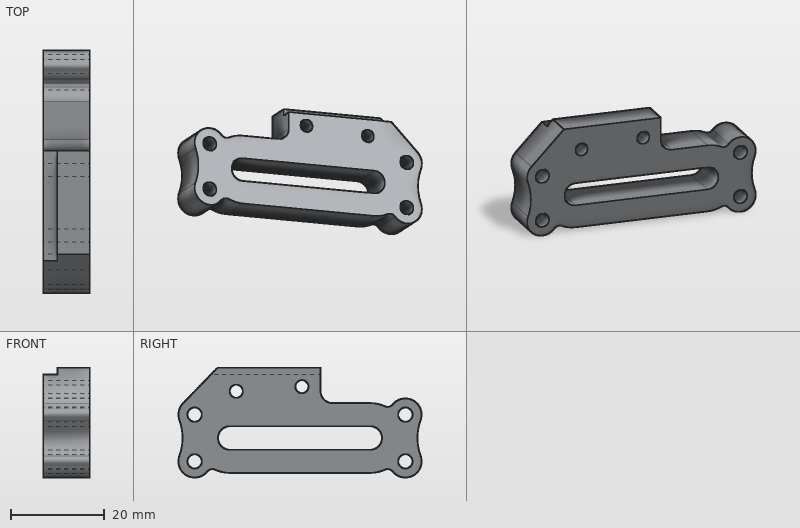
import cadquery as cq
import math

thickness = 10.0
length = 52.0
lug_radius = 3.5
lug_z = 5.0
lug_y = length / 2 - lug_radius
lug_hole_diameter = 3.0

slot_width = 5.0
slot_length = 35.0
slot_end_y = (slot_length - slot_width) / 2
body_radius = 7.5

neck_radius = 1.4
waist_radius = 11.0

block_top_z = 15.05
block_side_y = 4.4
slope_top_y = -17.65
block_corner_radius = 2.5
step_depth = 3.0
step_height = 1.4

block_hole_diameter = 2.75
block_hole_centers = [(0.4, 10.95), (-13.6, 10.0)]


def point_toward(start, end, distance):
    """Point at the given distance from start along the line to end."""
    share = distance / math.dist(start, end)
    return (start[0] + share * (end[0] - start[0]), start[1] + share * (end[1] - start[1]))


def neck_center():
    """Centre of the neck arc that touches a body end and a lug, for +Y and +Z."""
    to_body = body_radius + neck_radius
    to_lug = lug_radius + neck_radius
    lug_dy = lug_y - slot_end_y
    span = math.hypot(lug_dy, lug_z)
    along = (to_body**2 - to_lug**2 + span**2) / (2 * span)
    across = math.sqrt(to_body**2 - along**2)
    return (
        slot_end_y + (along * lug_dy - across * lug_z) / span,
        (along * lug_z + across * lug_dy) / span,
    )


def mirrored(point, y_sign, z_sign):
    return (y_sign * point[0], z_sign * point[1])


body_end = (slot_end_y, 0)
lug_center = (lug_y, lug_z)
neck = neck_center()
neck_at_body = point_toward(neck, body_end, neck_radius)
neck_at_lug = point_toward(neck, lug_center, neck_radius)
neck_crown = (neck[0], neck[1] - neck_radius)
body_flat_end = (slot_end_y, body_radius)
body_crown = point_toward(body_end, ((slot_end_y + neck_at_body[0]) / 2, body_radius), body_radius)

waist_center = (lug_y + math.sqrt((lug_radius + waist_radius) ** 2 - lug_z**2), 0)
waist_at_lug = point_toward(waist_center, lug_center, waist_radius)
waist_crown = (waist_center[0] - waist_radius, 0)

diagonal = math.sqrt(0.5)
lug_crown = (lug_y + lug_radius * diagonal, lug_z + lug_radius * diagonal)
lug_side = (lug_y + lug_radius, lug_z)

slope_top = (slope_top_y, block_top_z)
slope_lug_center = mirrored(lug_center, -1, 1)
lug_to_slope_top = math.dist(slope_lug_center, slope_top)
tangent_angle = math.atan2(
    slope_top[1] - slope_lug_center[1], slope_top[0] - slope_lug_center[0]
) + math.acos(lug_radius / lug_to_slope_top)
slope_bottom = (
    slope_lug_center[0] + lug_radius * math.cos(tangent_angle),
    slope_lug_center[1] + lug_radius * math.sin(tangent_angle),
)

corner_center = (block_side_y + block_corner_radius, body_radius + block_corner_radius)
corner_crown = point_toward(corner_center, (block_side_y, body_radius), block_corner_radius)


def add_body_to_lug(outline, y_sign, z_sign):
    """From the end of the body flat, round the body end and neck, to the lug."""
    outline = outline.threePointArc(
        mirrored(body_crown, y_sign, z_sign), mirrored(neck_at_body, y_sign, z_sign)
    )
    return outline.threePointArc(
        mirrored(neck_crown, y_sign, z_sign), mirrored(neck_at_lug, y_sign, z_sign)
    )


def add_lug_to_body(outline, y_sign, z_sign):
    """The same stretch in the opposite direction."""
    outline = outline.threePointArc(
        mirrored(neck_crown, y_sign, z_sign), mirrored(neck_at_body, y_sign, z_sign)
    )
    return outline.threePointArc(
        mirrored(body_crown, y_sign, z_sign), mirrored(body_flat_end, y_sign, z_sign)
    )


def make_plate():
    outline = cq.Workplane("YZ", origin=(-thickness / 2, 0, 0))
    outline = outline.moveTo(*slope_top).lineTo(block_side_y, block_top_z)
    outline = outline.lineTo(block_side_y, corner_center[1])
    outline = outline.threePointArc(corner_crown, (corner_center[0], body_radius))
    outline = outline.lineTo(*body_flat_end)
    outline = add_body_to_lug(outline, 1, 1)
    outline = outline.threePointArc(lug_crown, waist_at_lug)
    outline = outline.threePointArc(waist_crown, mirrored(waist_at_lug, 1, -1))
    outline = outline.threePointArc(mirrored(lug_crown, 1, -1), mirrored(neck_at_lug, 1, -1))
    outline = add_lug_to_body(outline, 1, -1)
    outline = outline.lineTo(*mirrored(body_flat_end, -1, -1))
    outline = add_body_to_lug(outline, -1, -1)
    outline = outline.threePointArc(mirrored(lug_crown, -1, -1), mirrored(waist_at_lug, -1, -1))
    outline = outline.threePointArc(mirrored(waist_crown, -1, 1), mirrored(waist_at_lug, -1, 1))
    outline = outline.threePointArc(mirrored(lug_side, -1, 1), slope_bottom)
    return outline.close().extrude(thickness)


def cut_step(plate):
    """Step along the top edge of the block, on the -X face."""
    step = cq.Workplane("XY").box(step_depth, length, step_height, centered=(False, True, False))
    return plate.cut(step.translate((-thickness / 2, 0, block_top_z - step_height)))


def cut_openings(plate):
    """Slot and round holes, all through the thickness."""
    lug_centers = [(y, z) for y in (-lug_y, lug_y) for z in (-lug_z, lug_z)]
    sketch = cq.Workplane("YZ")
    slot = sketch.slot2D(slot_length, slot_width).extrude(thickness, both=True)
    lug_holes = sketch.pushPoints(lug_centers).circle(lug_hole_diameter / 2).extrude(thickness, both=True)
    block_holes = (
        sketch.pushPoints(block_hole_centers).circle(block_hole_diameter / 2).extrude(thickness, both=True)
    )
    return plate.cut(slot).cut(lug_holes).cut(block_holes)


result = cut_openings(cut_step(make_plate()))